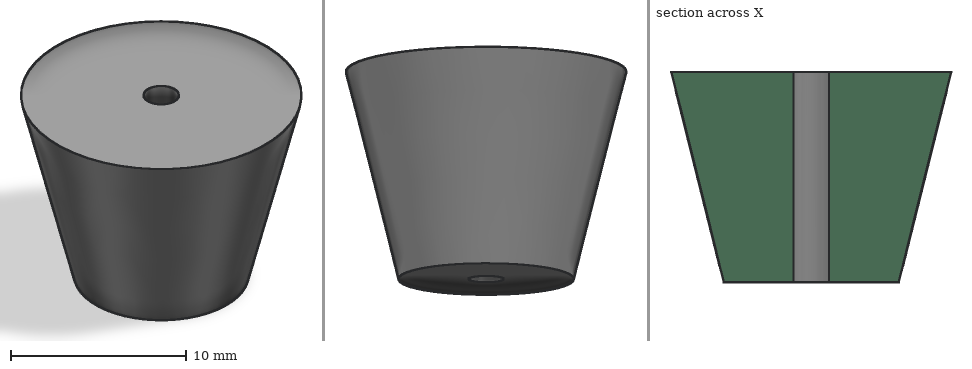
import cadquery as cq

TOP_DIAMETER = 16.0
BOTTOM_DIAMETER = 10.0
HEIGHT = 12.0
BORE_DIAMETER = 2.0


def tapered_body():
    """Truncated cone standing on its small end, centred on the Z axis."""
    profile = (
        cq.Workplane("XZ")
        .moveTo(0, 0)
        .lineTo(BOTTOM_DIAMETER / 2, 0)
        .lineTo(TOP_DIAMETER / 2, HEIGHT)
        .lineTo(0, HEIGHT)
        .close()
    )
    return profile.revolve(360, (0, 0, 0), (0, 1, 0))


def through_bore():
    """Straight cylinder along the Z axis over the full height."""
    return cq.Workplane("XY").circle(BORE_DIAMETER / 2).extrude(HEIGHT)


result = tapered_body().cut(through_bore())